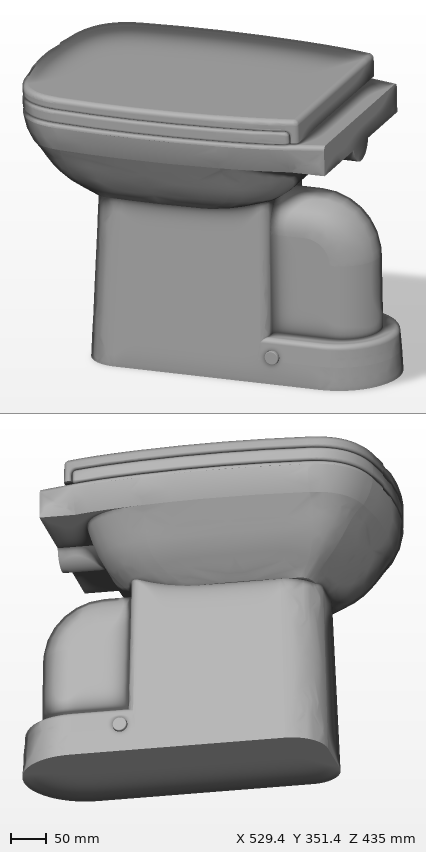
import cadquery as cq
import math

TILT = 3.0

RIM_HALF_WIDTH = 175.0
NOSE_HALF = 95.0
NOSE_RADIUS = 478.0
SIDE_RADIUS = 1220.0
SIDE_START = 86.0
SIDE_END = 327.0
TAPER_START = 427.0
TAPER_HALF_WIDTH = 153.5
SHELF_END = 478.5
SHELF_HALF_WIDTH = 140.5
TAPER_DIRECTION = cq.Vector(SHELF_END - TAPER_START, SHELF_HALF_WIDTH - TAPER_HALF_WIDTH)

SHELF_BOTTOM = 341.0
RIM_SIDE_TOP = 378.3
RIM_TOP = 385.0
SEAT_TOP = 405.0
LID_TOP = 422.3
RIM_FILLET = RIM_TOP - RIM_SIDE_TOP
FILLET_CLEARANCE = 0.01

UPPER_SECTIONS = [(SHELF_BOTTOM, 13.0), (361.0, 3.5), (RIM_SIDE_TOP, 0.0)]

LOWER_SECTIONS = [
    (SHELF_BOTTOM, 13.0, NOSE_HALF, SIDE_START, SIDE_END, 423.0, 70.0),
    (310.0, 35.5, NOSE_HALF, SIDE_START, SIDE_END, 412.0, 60.0),
    (283.0, 57.0, 85.0, 92.0, 322.0, 394.0, 45.0),
    (266.0, 77.0, 73.0, 100.0, 308.0, 374.0, 29.0),
    (247.0, 98.0, 48.0, 120.0, 282.0, 345.0, 20.0),
]

INLET_DIAMETER = 55.0
INLET_Z = 344.0
INLET_START = 390.0

PEDESTAL_HALF_WIDTH = 86.0
PEDESTAL_DRAFT = 2.55
PEDESTAL_FRONT = 83.0
PEDESTAL_FRONT_DRAFT = 2.9
PEDESTAL_REAR = 363.0
PEDESTAL_TOP = 285.0
PEDESTAL_FRONT_RADIUS = 50.0
PEDESTAL_REAR_RADIUS = 13.5

FOOT_CENTRE_X = 443.42
FOOT_START = 320.0
FOOT_SPLIT = 34.0
FOOT_TOP = 66.0
FOOT_UPPER_DRAFT = 4.0
FOOT_FILLET = 7.5

PIPE_RADIUS = 53.5
PIPE_Z = 211.5
PIPE_X = 449.0
BEND_RADIUS = 37.0
WEB_FILLET = 7.5

CAP_DIAMETER = 20.0
CAP_HOLE_DIAMETER = 21.0
CAP_X = 371.7
CAP_Z = 40.0
CAP_INNER_Y = 76.0
CAP_OUTER_Y = 89.0
CAP_FILLET = 1.0

SEAT_REAR = 429.5
SEAT_REAR_RADIUS = 6.0
SEAT_TOP_FILLET = 6.0
UNDERSIDE_FILLET = 3.8

LID_REAR = 442.5
LID_TOP_FILLET = 7.5
LID_CORNER_RADIUS = 7.0
FLANGE_INNER_X = 431.0
FLANGE_BOTTOM = 388.6
FLANGE_INNER_RADIUS = 7.5

BIG = 1000.0
SELECT_MARGIN = 1.0


def closed_wire(nose, half, rear_x, rear_y, z):
    """Join the nose arc, one half outline, its mirror image and a straight rear edge."""
    rear = cq.Edge.makeLine(cq.Vector(rear_x, rear_y), cq.Vector(rear_x, -rear_y))
    other_half = [edge.mirror("XZ") for edge in reversed(half)]
    return cq.Wire.assembleEdges([nose, *half, rear, *other_half]).moved(cq.Location(cq.Vector(0, 0, z)))


def front_edges(inset, nose_half, side_start, side_end):
    """Nose arc, front corner and side arc; also the point and direction at the side's end."""
    half_width = RIM_HALF_WIDTH - inset
    nose_angle = math.asin(nose_half / NOSE_RADIUS)
    side_angle = math.asin((side_end - side_start) / 2 / SIDE_RADIUS)
    nose_end_x = inset + NOSE_RADIUS * (1 - math.cos(nose_angle))
    side_end_y = half_width - SIDE_RADIUS * (1 - math.cos(side_angle))

    nose = cq.Edge.makeThreePointArc(
        cq.Vector(nose_end_x, -nose_half), cq.Vector(inset, 0), cq.Vector(nose_end_x, nose_half)
    )
    corner = cq.Edge.makeSpline(
        [cq.Vector(nose_end_x, nose_half), cq.Vector(side_start, side_end_y)],
        tangents=[
            cq.Vector(math.sin(nose_angle), math.cos(nose_angle)),
            cq.Vector(math.cos(side_angle), math.sin(side_angle)),
        ],
    )
    side_end_point = cq.Vector(side_end, side_end_y)
    side = cq.Edge.makeThreePointArc(
        cq.Vector(side_start, side_end_y),
        cq.Vector((side_start + side_end) / 2, half_width),
        side_end_point,
    )
    end_direction = cq.Vector(math.cos(side_angle), -math.sin(side_angle))
    return nose, [corner, side], side_end_point, end_direction


def rim_wire(inset, z):
    """Rim outline, moved inward by inset up to the straight shelf, which keeps its rear width."""
    nose, half, side_end, direction = front_edges(inset, NOSE_HALF, SIDE_START, SIDE_END)
    taper_start = cq.Vector(TAPER_START, TAPER_HALF_WIDTH - inset)
    shelf_end = cq.Vector(SHELF_END, SHELF_HALF_WIDTH)
    taper = cq.Edge.makeSpline([side_end, taper_start], tangents=[direction, TAPER_DIRECTION])
    shelf_side = cq.Edge.makeLine(taper_start, shelf_end)
    return closed_wire(nose, [*half, taper, shelf_side], SHELF_END, shelf_end.y, z)


def lower_bowl_wire(z, inset, nose_half, side_start, side_end_x, rear_x, rear_y):
    """Bowl section with rounded rear corners."""
    nose, half, side_end, direction = front_edges(inset, nose_half, side_start, side_end_x)
    rear_corner = cq.Edge.makeSpline(
        [side_end, cq.Vector(rear_x, rear_y)], tangents=[direction, cq.Vector(0, -1)]
    )
    return closed_wire(nose, [*half, rear_corner], rear_x, rear_y, z)


def rim_plate(bottom, top, rear_x=SHELF_END):
    """Plate with the rim outline, cut off straight at rear_x."""
    wire = rim_wire(0, bottom)
    plate = cq.Workplane(cq.Solid.extrudeLinear(wire, [], cq.Vector(0, 0, top - bottom)))
    if rear_x < SHELF_END:
        plate = plate.intersect(cq.Workplane().box(2 * rear_x, BIG, BIG))
    return plate


def pedestal_section(z):
    front = PEDESTAL_FRONT + z * math.tan(math.radians(PEDESTAL_FRONT_DRAFT))
    half_width = PEDESTAL_HALF_WIDTH - z * math.tan(math.radians(PEDESTAL_DRAFT))
    sketch = (
        cq.Sketch()
        .push([((front + PEDESTAL_REAR) / 2, 0)])
        .rect(PEDESTAL_REAR - front, 2 * half_width)
        .reset()
        .vertices("<X")
        .fillet(PEDESTAL_FRONT_RADIUS)
        .reset()
        .vertices(">X")
        .fillet(PEDESTAL_REAR_RADIUS)
    )
    return sketch.moved(cq.Location(cq.Vector(0, 0, z)))


def make_pedestal():
    return cq.Workplane().placeSketch(pedestal_section(0), pedestal_section(PEDESTAL_TOP)).loft()


def foot_tier(bottom, top, radius, draft):
    """One drafted tier of the foot: straight flanks closed by a half round rear end."""
    return (
        cq.Workplane(origin=(0, 0, bottom))
        .moveTo(FOOT_START, -radius)
        .lineTo(FOOT_CENTRE_X, -radius)
        .threePointArc((FOOT_CENTRE_X + radius, 0), (FOOT_CENTRE_X, radius))
        .lineTo(FOOT_START, radius)
        .close()
        .extrude(top - bottom, taper=draft)
    )


def make_foot():
    split_radius = PEDESTAL_HALF_WIDTH - FOOT_SPLIT * math.tan(math.radians(PEDESTAL_DRAFT))
    lower = foot_tier(0, FOOT_SPLIT, PEDESTAL_HALF_WIDTH, PEDESTAL_DRAFT)
    upper = foot_tier(FOOT_SPLIT, FOOT_TOP, split_radius, FOOT_UPPER_DRAFT)
    upper = upper.faces(">Z").edges("not <X").fillet(FOOT_FILLET)
    return lower.union(upper)


def make_outlet():
    """Web bounded by the pipe's axis line, with the pipe's outer half around it."""
    bend_x = PIPE_X - BEND_RADIUS
    bend_z = PIPE_Z - BEND_RADIUS
    start = PEDESTAL_REAR - PEDESTAL_REAR_RADIUS
    web = (
        cq.Workplane("XZ")
        .moveTo(start, 0)
        .lineTo(PIPE_X, 0)
        .lineTo(PIPE_X, bend_z)
        .radiusArc((bend_x, PIPE_Z), -BEND_RADIUS)
        .lineTo(start, PIPE_Z)
        .close()
        .extrude(PIPE_RADIUS, both=True)
    )

    def half_disc(plane, x, y):
        return (
            cq.Workplane(plane)
            .moveTo(x - PIPE_RADIUS, y)
            .threePointArc((x, y + PIPE_RADIUS), (x + PIPE_RADIUS, y))
            .close()
        )

    across = cq.Plane(origin=(bend_x, 0, 0), xDir=(0, 1, 0), normal=(1, 0, 0))
    horizontal = half_disc(across, 0, PIPE_Z).extrude(start - bend_x)
    bend = half_disc(across, 0, PIPE_Z).revolve(90, (0, bend_z), (1, bend_z))
    down = cq.Plane(origin=(0, 0, 0), xDir=(0, -1, 0), normal=(0, 0, 1))
    vertical = half_disc(down, 0, PIPE_X).extrude(bend_z)
    return web.union(horizontal).union(bend).union(vertical)


def make_pedestal_with_outlet():
    """Pedestal and outlet, with a fillet where the web and pipe leave the rear face."""
    base = make_pedestal().union(make_outlet())
    half_width = PIPE_RADIUS + SELECT_MARGIN
    joint = cq.selectors.BoxSelector(
        (PEDESTAL_REAR - SELECT_MARGIN, -half_width, SELECT_MARGIN),
        (PEDESTAL_REAR + SELECT_MARGIN, half_width, PIPE_Z + half_width),
    )
    return base.edges(joint).fillet(WEB_FILLET)


def cap_cylinder(diameter, side):
    """Cylinder across the foot flank on the +Y side (1) or the -Y side (-1)."""
    return (
        cq.Workplane("XZ", origin=(0, side * CAP_INNER_Y, 0))
        .center(CAP_X, CAP_Z)
        .circle(diameter / 2)
        .extrude(-side * (CAP_OUTER_Y - CAP_INNER_Y))
    )


def make_bowl():
    """Bowl with shelf, inlet, pedestal, outlet and foot, and the two blind cap holes."""
    upper = cq.Workplane(cq.Solid.makeLoft([rim_wire(inset, z) for z, inset in UPPER_SECTIONS]))
    lower = cq.Workplane(cq.Solid.makeLoft([lower_bowl_wire(*section) for section in LOWER_SECTIONS]))
    rim = rim_plate(RIM_SIDE_TOP, RIM_TOP)
    rim = rim.faces(">Z").edges("not >X").fillet(RIM_FILLET - FILLET_CLEARANCE)
    inlet = (
        cq.Workplane("YZ", origin=(INLET_START, 0, 0))
        .center(0, INLET_Z)
        .circle(INLET_DIAMETER / 2)
        .extrude(SHELF_END - INLET_START)
    )
    base = make_pedestal_with_outlet().union(make_foot())
    body = base.union(lower).union(upper).union(rim).union(inlet)
    for side in (1, -1):
        body = body.cut(cap_cylinder(CAP_HOLE_DIAMETER, side))
    return body


def make_cap(side):
    outer_face = ">Y" if side > 0 else "<Y"
    return cap_cylinder(CAP_DIAMETER, side).faces(outer_face).edges().fillet(CAP_FILLET)


def make_seat():
    """Solid plate between rim and lid with all its edges rounded."""
    plate = rim_plate(RIM_TOP, SEAT_TOP, SEAT_REAR)
    plate = plate.faces(">X").edges(">Y or <Y").fillet(SEAT_REAR_RADIUS)
    plate = plate.faces(">Z").edges().fillet(SEAT_TOP_FILLET)
    return plate.faces("<Z").edges().fillet(UNDERSIDE_FILLET)


def make_lid():
    """Plate over the seat with a flange that reaches down behind it."""
    blank = rim_plate(FLANGE_BOTTOM, LID_TOP, LID_REAR)
    blank = blank.faces(">X").edges(">Y or <Y").fillet(LID_CORNER_RADIUS)

    arc_x = FLANGE_INNER_X - FLANGE_INNER_RADIUS
    arc_z = SEAT_TOP - FLANGE_INNER_RADIUS
    seat_space = (
        cq.Workplane("XZ")
        .moveTo(-NOSE_RADIUS, FLANGE_BOTTOM)
        .lineTo(FLANGE_INNER_X, FLANGE_BOTTOM)
        .lineTo(FLANGE_INNER_X, arc_z)
        .radiusArc((arc_x, SEAT_TOP), -FLANGE_INNER_RADIUS)
        .lineTo(-NOSE_RADIUS, SEAT_TOP)
        .close()
        .extrude(2 * RIM_HALF_WIDTH, both=True)
    )
    cover = blank.cut(seat_space)
    cover = cover.faces(">Z").edges().fillet(LID_TOP_FILLET)
    underside = cover.faces(cq.selectors.NearestToPointSelector((LID_REAR / 2, 0, SEAT_TOP)))
    return underside.edges("not >X").fillet(UNDERSIDE_FILLET)


def tilted(body):
    return body.rotate((0, 0, 0), (1, 0, 0), TILT).val()


bowl = make_bowl()
seat = make_seat()
lid = make_lid()
caps = [make_cap(side) for side in (1, -1)]

result = cq.Compound.makeCompound([tilted(body) for body in (bowl, seat, lid, *caps)])